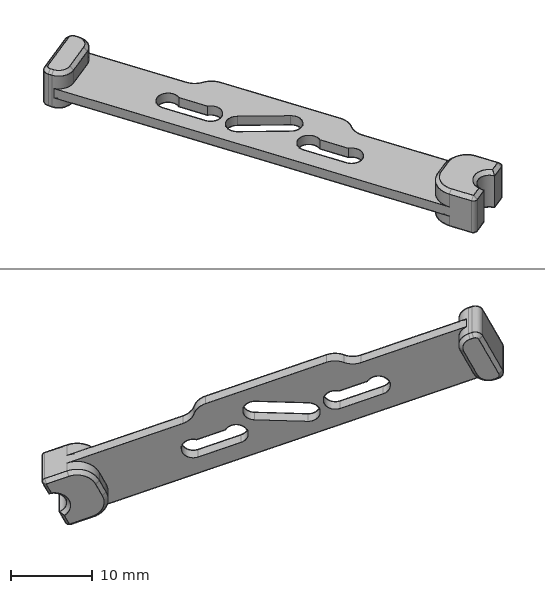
import cadquery as cq
import math

length = 58.75
body_width = 8.0
full_width = 9.75
block_height = 6.0
edge_chamfer = 0.5

plate_bottom = -1.0
plate_thickness = 1.45

center_x = 27.8
bump_top_length = 16.2
bump_radius = 2.5

left_block_length = 3.45
left_outer_radius = 1.0
left_inner_radius = 2.0
right_block_length = 6.5
right_inner_radius = 3.0
right_outer_radius = 0.5
notch_radius = 1.5

slot_end_radius = 1.45
slot_end_spacing = 5.75
slot_y = 3.8
slot_upper_half_width = 1.1
slot_offset_x = 9.5
diagonal_slot_start = (24.95, 3.4)
diagonal_slot_end = (30.85, 6.3)


def make_plate():
    """Plate outline with smooth S-shaped steps up to the wider middle."""
    step_height = full_width - body_width
    step_length = math.sqrt(4 * bump_radius * step_height - step_height**2)
    top_left = center_x - bump_top_length / 2
    top_right = center_x + bump_top_length / 2
    mid_y = body_width + step_height / 2
    return (
        cq.Workplane("XY", origin=(0, 0, plate_bottom))
        .moveTo(left_block_length / 2, 0)
        .lineTo(length - right_block_length / 2, 0)
        .lineTo(length - right_block_length / 2, body_width)
        .lineTo(top_right + step_length, body_width)
        .tangentArcPoint((top_right + step_length / 2, mid_y), relative=False)
        .tangentArcPoint((top_right, full_width), relative=False)
        .lineTo(top_left, full_width)
        .tangentArcPoint((top_left - step_length / 2, mid_y), relative=False)
        .tangentArcPoint((top_left - step_length, body_width), relative=False)
        .lineTo(left_block_length / 2, body_width)
        .close()
        .extrude(plate_thickness)
    )


def make_block(start_x, block_length):
    """Plain end block, full body width and centred on mid-height."""
    return (
        cq.Workplane("XY", origin=(start_x, 0, -block_height / 2))
        .rect(block_length, body_width, centered=False)
        .extrude(block_height)
    )


def make_left_block():
    block = make_block(0, left_block_length)
    block = block.edges("|Z and <X").fillet(left_outer_radius)
    block = block.edges("|Z and >X").fillet(left_inner_radius)
    return block.faces("<Z or >Z").chamfer(edge_chamfer)


def make_right_block():
    """Block rounded towards the plate, with a half-round notch in its end."""
    block = make_block(length - right_block_length, right_block_length)
    block = block.edges("|Z and <X").fillet(right_inner_radius)
    block = block.edges("|Z and >X").fillet(right_outer_radius)
    notch = (
        cq.Workplane("XY", origin=(length, body_width / 2, -block_height / 2))
        .circle(notch_radius)
        .extrude(block_height)
    )
    return block.cut(notch).faces("<Z or >Z").chamfer(edge_chamfer)


def make_slot(start, end, upper_half_width, lower_half_width):
    """Cutter with round ends and a straight passage from start to end."""
    span = math.dist(start, end)
    angle = math.degrees(math.atan2(end[1] - start[1], end[0] - start[0]))
    passage = (
        cq.Workplane("XY", origin=(0, 0, plate_bottom))
        .moveTo(0, -lower_half_width)
        .rect(span, upper_half_width + lower_half_width, centered=False)
        .extrude(plate_thickness)
    )
    ends = (
        cq.Workplane("XY", origin=(0, 0, plate_bottom))
        .pushPoints([(0, 0), (span, 0)])
        .circle(slot_end_radius)
        .extrude(plate_thickness)
    )
    slot = passage.union(ends)
    return slot.rotate((0, 0, 0), (0, 0, 1), angle).translate((start[0], start[1], 0))


plate = make_plate()
for side in (-1, 1):
    slot_center_x = center_x + side * slot_offset_x
    slot_start = (slot_center_x - slot_end_spacing / 2, slot_y)
    slot_end = (slot_center_x + slot_end_spacing / 2, slot_y)
    plate = plate.cut(make_slot(slot_start, slot_end, slot_upper_half_width, slot_end_radius))

plate = plate.cut(
    make_slot(diagonal_slot_start, diagonal_slot_end, slot_end_radius, slot_end_radius)
)

result = plate.union(make_left_block()).union(make_right_block())